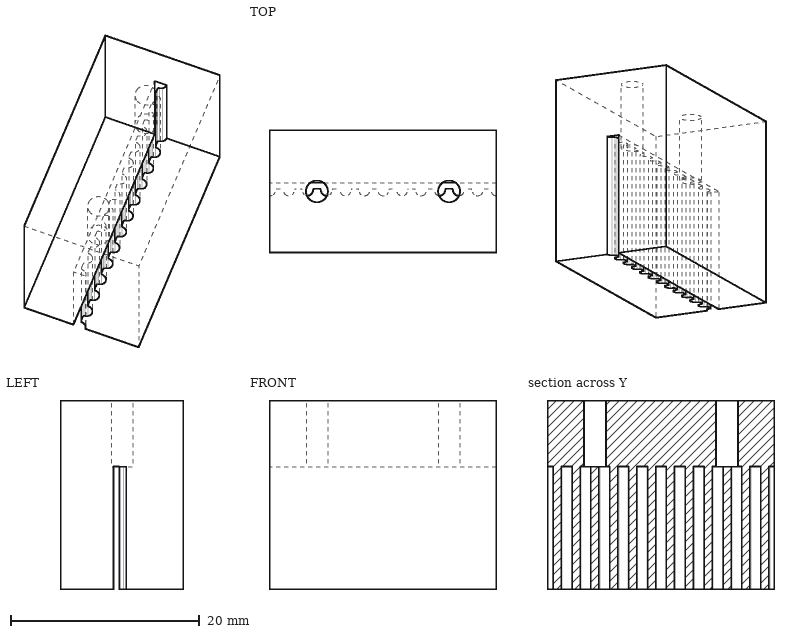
import cadquery as cq
import math

LENGTH = 24.0
WIDTH = 13.0
HEIGHT = 20.0

SLOT_HEIGHT = 13.0
BACK_WALL_Y = 0.9
BELT_BACKING = 0.6
RIDGE_TOP_Y = BACK_WALL_Y - BELT_BACKING

PITCH = 2.0
GROOVE_DEPTH = 0.75
TIP_RADIUS = 0.555
FLANK_RADIUS = 1.0
FLANK_CENTRE_OFFSET = 0.4
CREST_RADIUS = 0.15

HOLE_DIAMETER = 2.3
HOLE_SPACING = 7 * PITCH


def point_on_circle(centre, radius, angle):
    """Point on a circle at an angle in radians from +X."""
    return (centre[0] + radius * math.cos(angle), centre[1] + radius * math.sin(angle))


def groove_cutter(groove_x):
    """One belt-tooth groove, reaching from the plain slot wall into the toothed wall."""
    flank_centre = (-FLANK_CENTRE_OFFSET, 0)
    tip_centre = (0, TIP_RADIUS - GROOVE_DEPTH)
    crest_angle = -math.asin(CREST_RADIUS / (FLANK_RADIUS + CREST_RADIUS))
    crest_centre = point_on_circle(flank_centre, FLANK_RADIUS + CREST_RADIUS, crest_angle)
    tip_angle = math.atan2(tip_centre[1] - flank_centre[1], tip_centre[0] - flank_centre[0])

    mouth = (crest_centre[0], 0)
    crest_start_angle = math.pi / 2
    crest_end_angle = math.pi + crest_angle
    crest_middle_angle = (crest_start_angle + crest_end_angle) / 2
    crest_middle = point_on_circle(crest_centre, CREST_RADIUS, crest_middle_angle)
    crest_end = point_on_circle(flank_centre, FLANK_RADIUS, crest_angle)
    flank_middle = point_on_circle(flank_centre, FLANK_RADIUS, (crest_angle + tip_angle) / 2)
    flank_end = point_on_circle(flank_centre, FLANK_RADIUS, tip_angle)
    bottom = (0, -GROOVE_DEPTH)

    def right(point):
        return (groove_x + point[0], RIDGE_TOP_Y + point[1])

    def left(point):
        return (groove_x - point[0], RIDGE_TOP_Y + point[1])

    return (
        cq.Workplane("XY")
        .moveTo(groove_x + mouth[0], BACK_WALL_Y)
        .lineTo(*right(mouth))
        .threePointArc(right(crest_middle), right(crest_end))
        .threePointArc(right(flank_middle), right(flank_end))
        .threePointArc(right(bottom), left(flank_end))
        .threePointArc(left(flank_middle), left(crest_end))
        .threePointArc(left(crest_middle), left(mouth))
        .lineTo(groove_x - mouth[0], BACK_WALL_Y)
        .close()
        .extrude(SLOT_HEIGHT)
    )


def belt_slot():
    """Plain slot along X plus its grooves; half a groove falls on each end face."""
    slot = (
        cq.Workplane("XY")
        .box(LENGTH, BELT_BACKING, SLOT_HEIGHT, centered=(True, False, False))
        .translate((0, RIDGE_TOP_Y, 0))
    )
    pitch_count = round(LENGTH / PITCH)
    for index in range(pitch_count + 1):
        slot = slot.union(groove_cutter(index * PITCH - LENGTH / 2))
    return slot


def top_holes():
    """Two round holes from the top face to the roof of the slot."""
    return (
        cq.Workplane("XY")
        .workplane(offset=SLOT_HEIGHT)
        .pushPoints([(-HOLE_SPACING / 2, 0), (HOLE_SPACING / 2, 0)])
        .circle(HOLE_DIAMETER / 2)
        .extrude(HEIGHT - SLOT_HEIGHT)
    )


block = cq.Workplane("XY").box(LENGTH, WIDTH, HEIGHT, centered=(True, True, False))
result = block.cut(belt_slot()).cut(top_holes())